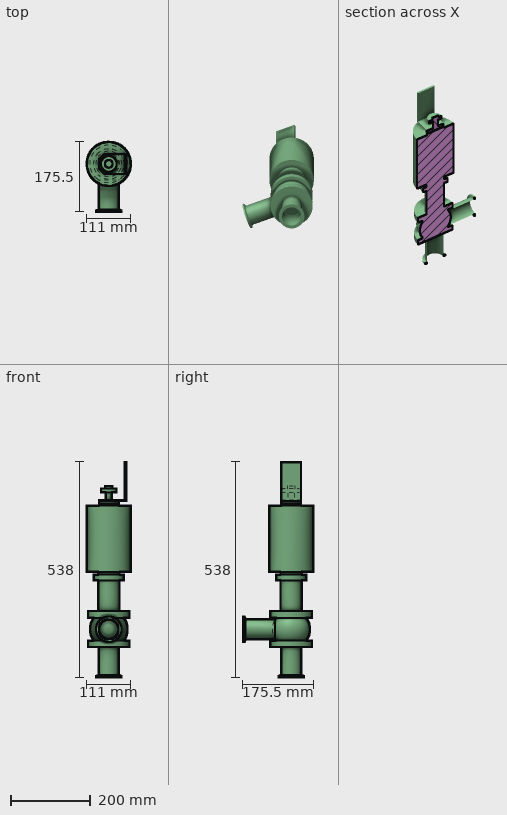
import cadquery as cq

total_height = 538.0
lower_flange_bottom = 76.0
lower_flange_top = 92.0
upper_flange_bottom = 148.5
upper_flange_top = 166.0
collar_bottom = 242.5
collar_top = 257.0
actuator_bottom = 263.5
actuator_top = 429.0
neck_joint = 434.0
bracket_bottom = 440.5
knob_bottom = 462.5
knob_top = 472.5
cap_top = 478.5

pipe_diameter = 50.5
bore_diameter = 48.0
ferrule_diameter = 64.0
flange_diameter = 105.0
ball_diameter = 94.5
column_diameter = 54.0
collar_diameter = 76.0
actuator_diameter = 111.0
neck_diameter = 50.0
stem_diameter = 16.0
knob_diameter = 40.0
cap_diameter = 19.5

ferrule_rim = 3.0
ferrule_height = 6.0

outlet_reach = 120.0
outlet_height = (lower_flange_top + upper_flange_bottom) / 2

bracket_width = neck_diameter
bracket_thickness = 3.0
upright_thickness = 5.0
bracket_right = 44.5
bracket_left = -bracket_width / 2
bracket_corner = 14.0


def cylinder(diameter, bottom, top):
    """Round section on the vertical axis between two levels."""
    return cq.Workplane("XY").workplane(offset=bottom).circle(diameter / 2).extrude(top - bottom)


def ferruled_pipe(length):
    """Open pipe along +Z whose free end, with its ferrule, is at Z = 0."""
    pipe_radius = pipe_diameter / 2
    bore_radius = bore_diameter / 2
    rim_radius = ferrule_diameter / 2
    return (
        cq.Workplane("XZ")
        .moveTo(bore_radius, 0)
        .lineTo(rim_radius, 0)
        .lineTo(rim_radius, ferrule_rim)
        .lineTo(pipe_radius, ferrule_height)
        .lineTo(pipe_radius, length)
        .lineTo(bore_radius, length)
        .close()
        .revolve(360, (0, 0, 0), (0, 1, 0))
    )


def valve_ball():
    """Solid spherical chamber cut flat where it meets the two flanges."""
    ball = cq.Workplane("XY").sphere(ball_diameter / 2).translate((0, 0, outlet_height))
    return ball.intersect(cylinder(flange_diameter, lower_flange_top, upper_flange_bottom))


def side_outlet():
    """Ferruled side pipe, reaching the surface of the ball."""
    pipe = ferruled_pipe(outlet_reach).rotate((0, 0, 0), (1, 0, 0), -90)
    return pipe.translate((0, -outlet_reach, outlet_height))


def make_valve():
    """Valve chamber, pipes, actuator and the lower neck as one solid."""
    valve = ferruled_pipe(lower_flange_bottom)
    sections = [
        cylinder(flange_diameter, lower_flange_bottom, lower_flange_top),
        valve_ball(),
        side_outlet(),
        cylinder(flange_diameter, upper_flange_bottom, upper_flange_top),
        cylinder(column_diameter, upper_flange_top, actuator_bottom),
        cylinder(collar_diameter, collar_bottom, collar_top),
        cylinder(actuator_diameter, actuator_bottom, actuator_top),
        cylinder(neck_diameter, actuator_top, neck_joint),
    ]
    for section in sections:
        valve = valve.union(section)
    return valve


def make_bracket():
    """L-shaped plate with two clipped corners."""
    foot = (
        cq.Workplane("XY")
        .workplane(offset=bracket_bottom)
        .center((bracket_left + bracket_right) / 2, 0)
        .rect(bracket_right - bracket_left, bracket_width)
        .extrude(bracket_thickness)
        .edges("|Z and <X")
        .chamfer(bracket_corner)
    )
    upright = (
        cq.Workplane("XY")
        .workplane(offset=bracket_bottom)
        .center(bracket_right - upright_thickness / 2, 0)
        .rect(upright_thickness, bracket_width)
        .extrude(total_height - bracket_bottom)
    )
    return foot.union(upright)


def make_indicator():
    """Upper neck, bracket, stem and knob as one solid resting on the actuator neck."""
    indicator = cylinder(neck_diameter, neck_joint, bracket_bottom)
    sections = [
        make_bracket(),
        cylinder(stem_diameter, bracket_bottom, knob_bottom),
        cylinder(knob_diameter, knob_bottom, knob_top),
        cylinder(cap_diameter, knob_top, cap_top),
    ]
    for section in sections:
        indicator = indicator.union(section)
    return indicator


valve = make_valve()
indicator = make_indicator()
result = cq.Compound.makeCompound([valve.solids().val(), indicator.solids().val()])